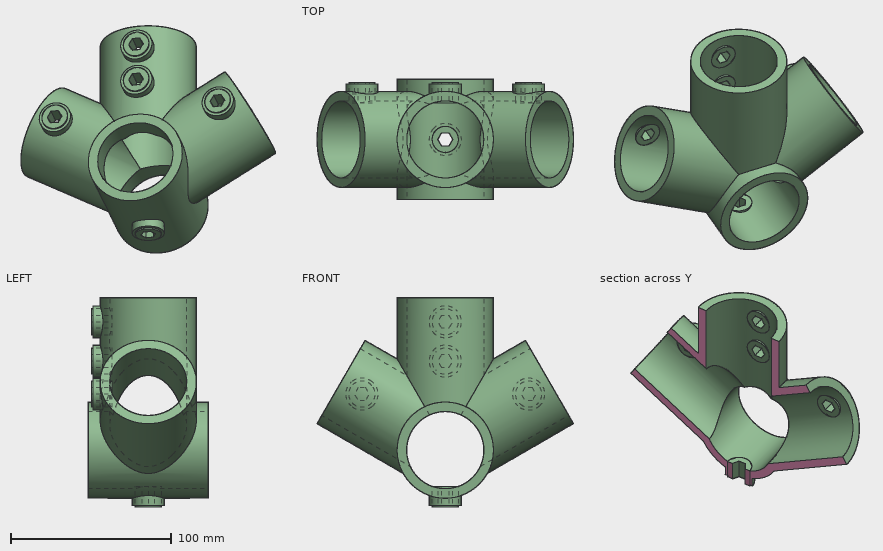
import cadquery as cq
import math

TUBE_DIAMETER = 60.0
BORE_DIAMETER = 48.0
CROSS_LENGTH = 75.0
UPRIGHT_LENGTH = 95.0
ARM_LENGTH = 75.0
ARM_RISE = 5.0
ARM_ANGLE = 30.0

BOSS_DIAMETER = 20.0
BOSS_HEIGHT = 34.5
SCREW_DIAMETER = 16.3
SCREW_INNER_END = 22.5
SCREW_OUTER_END = 35.5
HEX_ACROSS_FLATS = 8.0
HEX_CORNER_DIAMETER = HEX_ACROSS_FLATS / math.cos(math.pi / 6)

UPRIGHT_SCREW_HEIGHTS = (55.5, 80.0)
ARM_SCREW_DISTANCE = 60.0

UP = cq.Vector(0, 0, 1)
DOWN = cq.Vector(0, 0, -1)
BACK = cq.Vector(0, 1, 0)
ORIGIN = cq.Vector(0, 0, 0)
ARM_START = cq.Vector(0, 0, ARM_RISE)


def arm_direction(side):
    """Unit vector along the arm on the given X side (-1 or 1)."""
    slope = math.radians(ARM_ANGLE)
    return cq.Vector(side * math.cos(slope), 0, math.sin(slope))


def cylinder(start, direction, diameter, length):
    return cq.Workplane(cq.Solid.makeCylinder(diameter / 2, length, start, direction))


tubes = [
    (cq.Vector(0, -CROSS_LENGTH / 2, 0), BACK, CROSS_LENGTH),
    (ORIGIN, UP, UPRIGHT_LENGTH),
]
for side in (-1, 1):
    tubes.append((ARM_START, arm_direction(side), ARM_LENGTH))

screw_places = [(ORIGIN, DOWN)]
for height in UPRIGHT_SCREW_HEIGHTS:
    screw_places.append((cq.Vector(0, 0, height), BACK))
for side in (-1, 1):
    screw_places.append((ARM_START + arm_direction(side) * ARM_SCREW_DISTANCE, BACK))


def make_housing():
    """Joined tubes and bosses, cleared by the bores and the screw holes."""
    body = cylinder(*tubes[0][:2], TUBE_DIAMETER, CROSS_LENGTH)
    for start, direction, length in tubes[1:]:
        body = body.union(cylinder(start, direction, TUBE_DIAMETER, length))
    for center, outward in screw_places:
        body = body.union(cylinder(center, outward, BOSS_DIAMETER, BOSS_HEIGHT))
    for start, direction, length in tubes:
        body = body.cut(cylinder(start, direction, BORE_DIAMETER, length))
    for center, outward in screw_places:
        body = body.cut(cylinder(center, outward, SCREW_DIAMETER, BOSS_HEIGHT))
    return body


def make_screw(center, outward):
    """Set screw with a hexagonal hole along its full length."""
    inner_end = cq.Plane(center + outward * SCREW_INNER_END, xDir=(1, 0, 0), normal=outward)
    length = SCREW_OUTER_END - SCREW_INNER_END
    blank = cq.Workplane(inner_end).circle(SCREW_DIAMETER / 2).extrude(length)
    socket = cq.Workplane(inner_end).polygon(6, HEX_CORNER_DIAMETER).extrude(length)
    return blank.cut(socket)


housing = make_housing()
screws = [make_screw(center, outward) for center, outward in screw_places]

result = cq.Compound.makeCompound([housing.val(), *[screw.val() for screw in screws]])